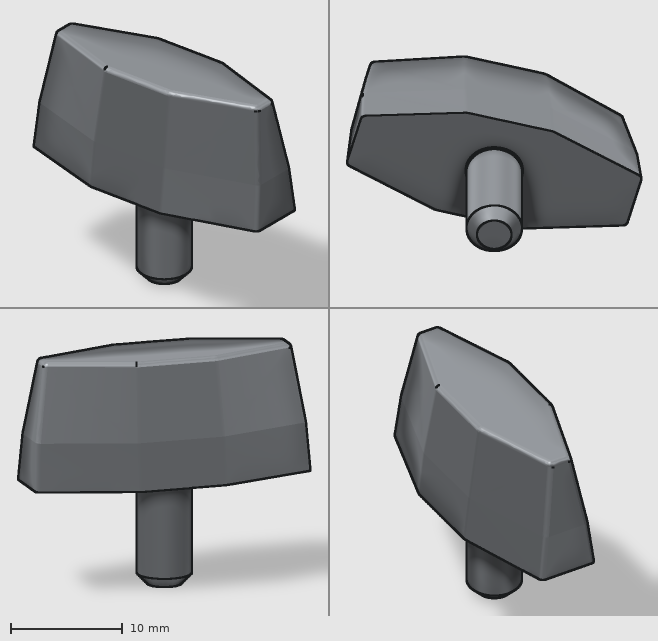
import cadquery as cq
import math

BODY_HEIGHT = 11.5
SEAM_HEIGHT = 4.35

BASE_OUTLINE = (13.0, 5.5, 4.0, 2.75)
SEAM_OUTLINE = (12.75, 4.97, 4.0, 2.22)
TOP_OUTLINE = (11.67, 3.8, 3.7, 1.05)

END_CORNER_RADIUS = 0.5
SIDE_CORNER_RADIUS = 1.0
TOP_EDGE_RADIUS = 0.5

STUD_RADIUS = 2.5
STUD_LENGTH = 10.0
TIP_HEIGHT = 1.0
TIP_RADIUS = 1.55
COLLAR_RADIUS = 2.57
COLLAR_HEIGHT = 0.2


def rounded_outline(outline, height):
    """Closed eight-sided wire at the given height, each corner rounded by an arc."""
    length, width, side_flat, end_flat = outline
    quarter = [(length, end_flat, END_CORNER_RADIUS), (side_flat, width, SIDE_CORNER_RADIUS)]
    upper = quarter + [(-x, y, r) for x, y, r in reversed(quarter)]
    corners = upper + [(x, -y, r) for x, y, r in reversed(upper)]

    arcs = []
    for i, (x, y, radius) in enumerate(corners):
        corner = cq.Vector(x, y, height)
        before = cq.Vector(*corners[i - 1][:2], height)
        after = cq.Vector(*corners[(i + 1) % len(corners)][:2], height)
        to_before = (before - corner).normalized()
        to_after = (after - corner).normalized()
        half_angle = to_before.getAngle(to_after) / 2
        setback = radius / math.tan(half_angle)
        to_middle = radius / math.sin(half_angle) - radius
        middle = corner + (to_before + to_after).normalized() * to_middle
        arcs.append((corner + to_before * setback, middle, corner + to_after * setback))

    edges = []
    for i, (start, middle, end) in enumerate(arcs):
        edges.append(cq.Edge.makeLine(arcs[i - 1][2], start))
        edges.append(cq.Edge.makeThreePointArc(start, middle, end))
    return cq.Wire.assembleEdges(edges)


def make_body():
    """Faceted knob body: two drafted tiers with a rounded top edge."""
    base = rounded_outline(BASE_OUTLINE, 0)
    seam = rounded_outline(SEAM_OUTLINE, SEAM_HEIGHT)
    top = rounded_outline(TOP_OUTLINE, BODY_HEIGHT)
    body = cq.Workplane(cq.Solid.makeLoft([base, seam, top], True))
    return body.faces(">Z").edges().fillet(TOP_EDGE_RADIUS)


def make_stud():
    """Round stud with a tapered tip and a low conical collar under the body."""
    profile = [
        (0, 0),
        (COLLAR_RADIUS, 0),
        (STUD_RADIUS, -COLLAR_HEIGHT),
        (STUD_RADIUS, TIP_HEIGHT - STUD_LENGTH),
        (TIP_RADIUS, -STUD_LENGTH),
        (0, -STUD_LENGTH),
    ]
    return cq.Workplane("XZ").polyline(profile).close().revolve(360, (0, 0), (0, 1))


result = make_body().union(make_stud())